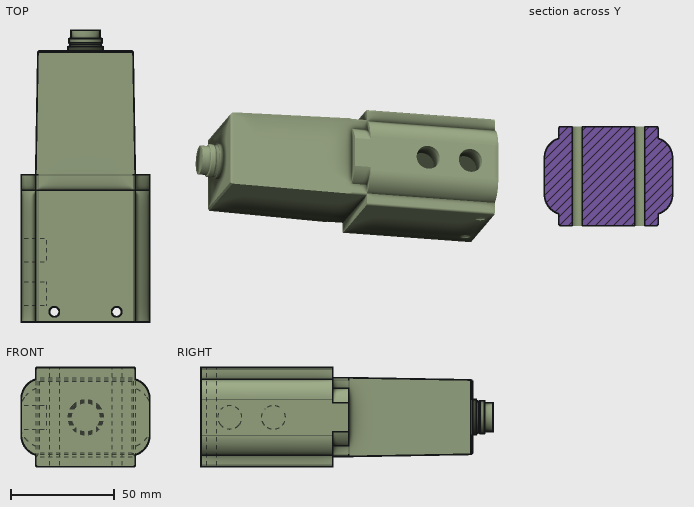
import cadquery as cq
import math


WIDTH = 62.0
BLOCK_WIDTH = 48.0
EDGE_FILLET = 1.0

BODY_END = 63.5
PLATE_END = 71.1
HEAD_END = 130.8
TOTAL_LENGTH = 140.7

BODY_HEIGHT = 48.0
BODY_SIDE_HALF = 8.7
BODY_SIDE_RADIUS = 10.0

PLATE_HEIGHT = 38.0
PLATE_SIDE_HALF = 7.0
PLATE_SHOULDER_HALF = 13.9
PLATE_SIDE_RADIUS = 12.5

HEAD_DRAFT = 1.0
HEAD_CHAMFER = 0.8

FLANGE_DIAMETER = 17.0
RING_DIAMETER = 16.0
GROOVE_DIAMETER = 14.7
TIP_DIAMETER = 14.0
RING_CHAMFER = 0.4
FLANGE_END = 132.6
GROOVE_Y = 133.7
RING_START = 134.5
RING_END = 136.8

MOUNT_DIAMETER = 4.7
MOUNT_SPACING = 30.0
MOUNT_Y = 5.0

PORT_DIAMETER = 11.45
PORT_DEPTH = 12.0
PORT_FIRST_Y = 13.8
PORT_SPACING = 21.0


def section_plane(y):
    """XZ plane at the given Y, with its normal along +Y and its local Y pointing to -Z."""
    return cq.Workplane(cq.Plane(origin=(0, y, 0), xDir=(1, 0, 0), normal=(0, 1, 0)))


def block(height, start, end):
    """Central block with rounded long edges."""
    solid = section_plane(start).rect(BLOCK_WIDTH, height).extrude(end - start)
    return solid.edges("|Y").fillet(EDGE_FILLET)


def side_bulges(side_half, shoulder_half, radius, start, end):
    """Full-width slab whose corners are convex arcs running from the side flats to the block."""
    side = WIDTH / 2
    shoulder = BLOCK_WIDTH / 2
    chord_x = shoulder - side
    chord_z = shoulder_half - side_half
    chord = math.hypot(chord_x, chord_z)
    bulge = radius - math.sqrt(radius**2 - (chord / 2) ** 2)
    middle_x = (side + shoulder) / 2 + bulge * chord_z / chord
    middle_z = (side_half + shoulder_half) / 2 - bulge * chord_x / chord
    return (
        section_plane(start)
        .moveTo(side, -side_half)
        .lineTo(side, side_half)
        .threePointArc((middle_x, middle_z), (shoulder, shoulder_half))
        .lineTo(-shoulder, shoulder_half)
        .threePointArc((-middle_x, middle_z), (-side, side_half))
        .lineTo(-side, -side_half)
        .threePointArc((-middle_x, -middle_z), (-shoulder, -shoulder_half))
        .lineTo(shoulder, -shoulder_half)
        .threePointArc((middle_x, -middle_z), (side, -side_half))
        .close()
        .extrude(end - start)
    )


def make_body():
    arc_center_x = WIDTH / 2 - BODY_SIDE_RADIUS
    arc_reach = BLOCK_WIDTH / 2 - arc_center_x
    shoulder_half = BODY_SIDE_HALF + math.sqrt(BODY_SIDE_RADIUS**2 - arc_reach**2)
    bulges = side_bulges(BODY_SIDE_HALF, shoulder_half, BODY_SIDE_RADIUS, 0, BODY_END)
    return block(BODY_HEIGHT, 0, BODY_END).union(bulges)


def make_plate():
    bulges = side_bulges(PLATE_SIDE_HALF, PLATE_SHOULDER_HALF, PLATE_SIDE_RADIUS, BODY_END, PLATE_END)
    return block(PLATE_HEIGHT, BODY_END, PLATE_END).union(bulges)


def make_head():
    length = HEAD_END - PLATE_END
    head = section_plane(PLATE_END).rect(BLOCK_WIDTH, PLATE_HEIGHT).extrude(length, taper=HEAD_DRAFT)
    return head.faces(">Y").chamfer(HEAD_CHAMFER)


def make_connector():
    flange = FLANGE_DIAMETER / 2
    ring = RING_DIAMETER / 2
    tip = TIP_DIAMETER / 2
    return (
        cq.Workplane("XY")
        .moveTo(0, HEAD_END)
        .lineTo(flange, HEAD_END)
        .lineTo(flange, FLANGE_END)
        .lineTo(ring, FLANGE_END)
        .lineTo(GROOVE_DIAMETER / 2, GROOVE_Y)
        .lineTo(ring, RING_START)
        .lineTo(ring, RING_END - RING_CHAMFER)
        .lineTo(ring - RING_CHAMFER, RING_END)
        .lineTo(tip, RING_END)
        .lineTo(tip, TOTAL_LENGTH)
        .lineTo(0, TOTAL_LENGTH)
        .close()
        .revolve(360, (0, 0, 0), (0, 1, 0))
    )


def mounting_holes():
    half_spacing = MOUNT_SPACING / 2
    return (
        cq.Workplane("XY", origin=(0, MOUNT_Y, -BODY_HEIGHT / 2))
        .pushPoints([(-half_spacing, 0), (half_spacing, 0)])
        .circle(MOUNT_DIAMETER / 2)
        .extrude(BODY_HEIGHT)
    )


def side_ports():
    return (
        cq.Workplane("YZ", origin=(-WIDTH / 2, PORT_FIRST_Y, 0))
        .pushPoints([(0, 0), (PORT_SPACING, 0)])
        .circle(PORT_DIAMETER / 2)
        .extrude(PORT_DEPTH)
    )


result = make_body().union(make_plate()).union(make_head()).union(make_connector())
result = result.cut(mounting_holes()).cut(side_ports())